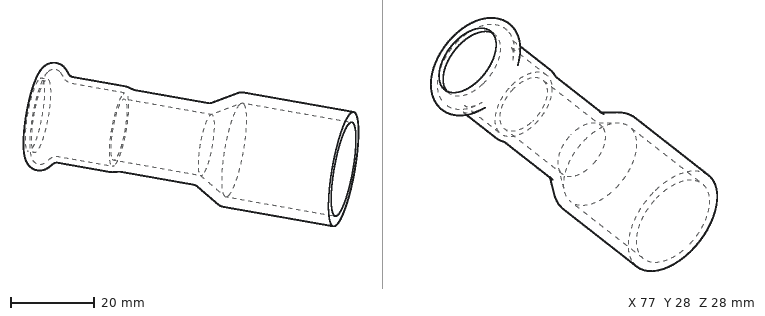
import cadquery as cq
import math

LENGTH = 77.0
BEAD_CREST_X = 3.0
SOCKET_START_X = 7.6
NECK_TAPER_START_X = 20.95
NECK_TAPER_END_X = 23.0
CONE_START_X = 42.05

BEAD_RADIUS = 13.2
SOCKET_RADIUS = 21.0 / 2
NECK_RADIUS = 20.0 / 2
SPIGOT_RADIUS = 28.0 / 2
CONE_ANGLE = math.radians(30)
CONE_END_X = CONE_START_X + (SPIGOT_RADIUS - NECK_RADIUS) / math.tan(CONE_ANGLE)

BEAD_ARC_RADIUS = BEAD_CREST_X
BEAD_CENTER_R = BEAD_RADIUS - BEAD_ARC_RADIUS
BLEND_RADIUS = 2.0

SOCKET_WALL = 1.55
SOCKET_BORE_RADIUS = SOCKET_RADIUS - SOCKET_WALL
SOCKET_DEPTH = NECK_TAPER_START_X
NECK_BORE_RADIUS = 7.5
NECK_WALL = NECK_RADIUS - NECK_BORE_RADIUS
SPIGOT_BORE_RADIUS = SPIGOT_RADIUS - NECK_WALL


def polar(center, radius, angle):
    """Point on a circle, with the angle measured from +X."""
    return (center[0] + radius * math.cos(angle), center[1] + radius * math.sin(angle))


def revolve_about_x(profile):
    return profile.close().revolve(360, (0, 0, 0), (1, 0, 0))


def bead_and_socket_start(profile, inset):
    """Trace the bead, its flank and the blend into the socket, inset from the outer surface."""
    bead_arc = BEAD_ARC_RADIUS - inset
    blend_arc = BLEND_RADIUS + inset
    bead_center = (BEAD_CREST_X, BEAD_CENTER_R)
    blend_center = (SOCKET_START_X, SOCKET_RADIUS + BLEND_RADIUS)

    run = blend_center[0] - bead_center[0]
    rise = blend_center[1] - bead_center[1]
    normal = math.atan2(rise, run) + math.acos((bead_arc + blend_arc) / math.hypot(run, rise))
    flank_start = polar(bead_center, bead_arc, normal)
    flank_end = polar(blend_center, -blend_arc, normal)
    blend_middle = polar(blend_center, -blend_arc, (normal + math.pi / 2) / 2)
    return (
        profile
        .lineTo(BEAD_CREST_X - bead_arc, BEAD_CENTER_R)
        .threePointArc((BEAD_CREST_X, BEAD_CENTER_R + bead_arc), flank_start)
        .lineTo(*flank_end)
        .threePointArc(blend_middle, (SOCKET_START_X, SOCKET_RADIUS - inset))
    )


def outer_body():
    profile = (
        bead_and_socket_start(cq.Workplane("XY"), 0)
        .lineTo(NECK_TAPER_START_X, SOCKET_RADIUS)
        .lineTo(NECK_TAPER_END_X, NECK_RADIUS)
        .lineTo(CONE_START_X, NECK_RADIUS)
        .lineTo(CONE_END_X, SPIGOT_RADIUS)
        .lineTo(LENGTH, SPIGOT_RADIUS)
        .lineTo(LENGTH, 0)
    )
    body = revolve_about_x(profile)

    corner_range = cq.selectors.BoxSelector(
        ((SOCKET_START_X + NECK_TAPER_START_X) / 2, -LENGTH, -LENGTH),
        ((CONE_END_X + LENGTH) / 2, LENGTH, LENGTH),
    )
    return body.edges("%CIRCLE").edges(corner_range).fillet(BLEND_RADIUS)


def bore():
    bore_shift = NECK_WALL * math.tan(CONE_ANGLE / 2)
    lip = (
        cq.Workplane("XY")
        .lineTo(0, SOCKET_BORE_RADIUS)
        .lineTo(SOCKET_WALL, SOCKET_BORE_RADIUS)
    )
    profile = (
        bead_and_socket_start(lip, SOCKET_WALL)
        .lineTo(SOCKET_DEPTH, SOCKET_BORE_RADIUS)
        .lineTo(SOCKET_DEPTH, NECK_BORE_RADIUS)
        .lineTo(CONE_START_X + bore_shift, NECK_BORE_RADIUS)
        .lineTo(CONE_END_X + bore_shift, SPIGOT_BORE_RADIUS)
        .lineTo(LENGTH, SPIGOT_BORE_RADIUS)
        .lineTo(LENGTH, 0)
    )
    return revolve_about_x(profile)


result = outer_body().cut(bore())